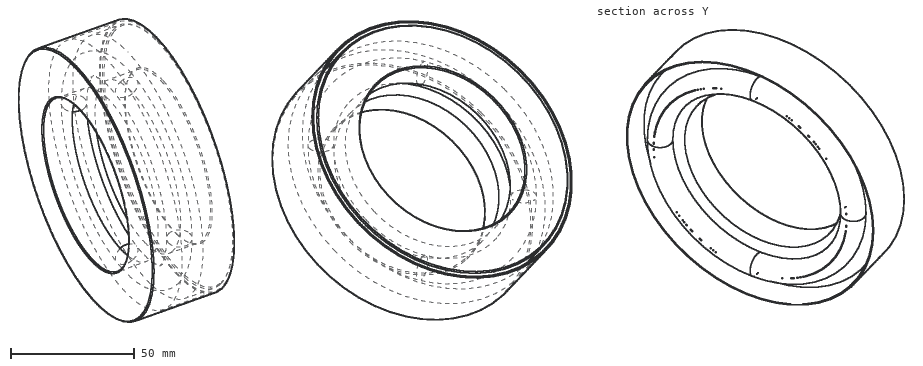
import cadquery as cq

overall_width = 38.1
outer_diameter = 117.5
bore_diameter = 74.6
shroud_bore = 116.1
back_washer_diameter = 113.4
edge_chamfer = 0.53
shroud_setback = 0.7

segment_diameter = 10.3
segment_count = 4
segment_circle_radius = 45.8
segment_plane_y = -0.2
segment_sweep = 360 / segment_count

front_face_y = -overall_width / 2
back_face_y = overall_width / 2
front_race_y = segment_plane_y - segment_diameter / 2
back_race_y = segment_plane_y + segment_diameter / 2
shroud_rim_y = back_face_y - shroud_setback


def ring(outer, inner, start_y, end_y):
    """Plain ring around the Y axis between two Y positions."""
    return (
        cq.Workplane("XZ", origin=(0, end_y, 0))
        .circle(outer / 2)
        .circle(inner / 2)
        .extrude(end_y - start_y)
    )


def make_front_washer():
    """Front washer with a thin shroud that reaches back around the segments."""
    washer = ring(outer_diameter, bore_diameter, front_face_y, front_race_y)
    washer = washer.faces("<Y").edges().chamfer(edge_chamfer)
    shroud = ring(outer_diameter, shroud_bore, front_race_y, shroud_rim_y)
    return washer.union(shroud)


def make_back_washer():
    """Loose washer inside the shroud, chamfered on its back face."""
    washer = ring(back_washer_diameter, bore_diameter, back_race_y, back_face_y)
    return washer.faces(">Y").edges().chamfer(edge_chamfer)


def make_segment(start_angle):
    """Round bar bent along one arc of the bearing circle."""
    return (
        cq.Workplane("XY", origin=(segment_circle_radius, segment_plane_y, 0))
        .circle(segment_diameter / 2)
        .revolve(segment_sweep, (-segment_circle_radius, 0, 0), (-segment_circle_radius, 1, 0))
        .rotate((0, 0, 0), (0, 1, 0), start_angle)
    )


front_washer = make_front_washer()
back_washer = make_back_washer()

segments = [make_segment(index * segment_sweep).val() for index in range(segment_count)]

result = cq.Compound.makeCompound([front_washer.val(), back_washer.val(), *segments])